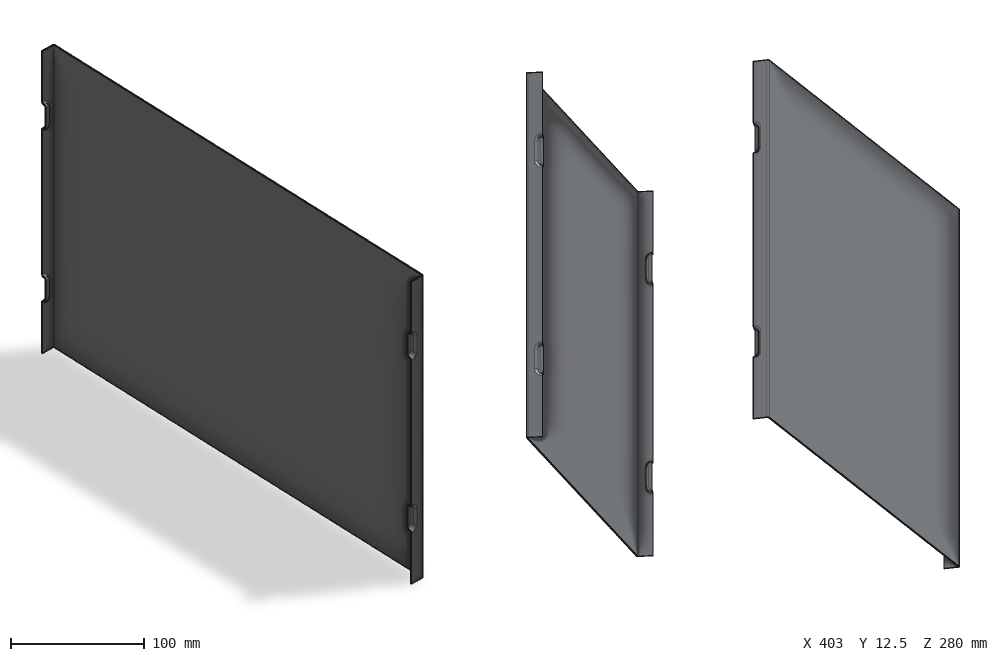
import cadquery as cq

width = 403.0
depth = 12.5
height = 280.0

sheet = 1.0
bend_inside = 0.5
bend_outside = bend_inside + sheet

pad_length = 23.8
pad_depth = 5.0
pad_corner = 4.5
pad_rise = 3.5
pad_inside_radius = 1.2
pad_outside_radius = pad_inside_radius + sheet
pad_spacing = 160.0
lower_pad_middle = (height - pad_spacing) / 2
pad_middles = (lower_pad_middle, lower_pad_middle + pad_spacing)

left_face = -width / 2


def half_channel(inset, corner):
    """Left half of the rounded channel block, shrunk by inset at its side and back."""
    return (
        cq.Workplane("XY")
        .box(width / 2 - inset, depth - inset, height, centered=False)
        .translate((left_face + inset, 0, 0))
        .edges("|Z and >Y and <X")
        .fillet(corner)
    )


def pad_block(middle, inset, thickness):
    """Block from the outer flange face inwards, shrunk by inset on its three walls, back corners rounded."""
    return (
        cq.Workplane("XY")
        .box(thickness, pad_depth - inset, pad_length - 2 * inset, centered=(False, False, True))
        .edges("|X and >Y")
        .fillet(pad_corner - inset)
        .translate((left_face, 0, middle))
    )


def round_pad_foot(body, middle, x, radius):
    """Round the edges where a pad meets the flange face at the given X."""
    reach = pad_length / 2 + sheet
    margin = sheet / 10
    foot = cq.selectors.BoxSelector(
        (x - margin, margin, middle - reach),
        (x + margin, pad_depth + margin, middle + reach),
    )
    return body.edges(foot).fillet(radius)


def emboss(body, middle):
    """Press one pad inwards from the left flange."""
    raised = pad_block(middle, 0, sheet + pad_rise)
    raised = raised.faces(">X").edges("not <Y").fillet(pad_outside_radius)
    hollow = pad_block(middle, sheet, pad_rise)
    hollow = hollow.faces(">X").edges("not <Y").fillet(pad_inside_radius)
    body = body.union(raised)
    body = round_pad_foot(body, middle, left_face + sheet, pad_inside_radius)
    body = body.cut(hollow)
    return round_pad_foot(body, middle, left_face, pad_outside_radius)


left_half = half_channel(0, bend_outside).cut(half_channel(sheet, bend_inside))
for pad_middle in pad_middles:
    left_half = emboss(left_half, pad_middle)

result = left_half.union(left_half.mirror("YZ"))